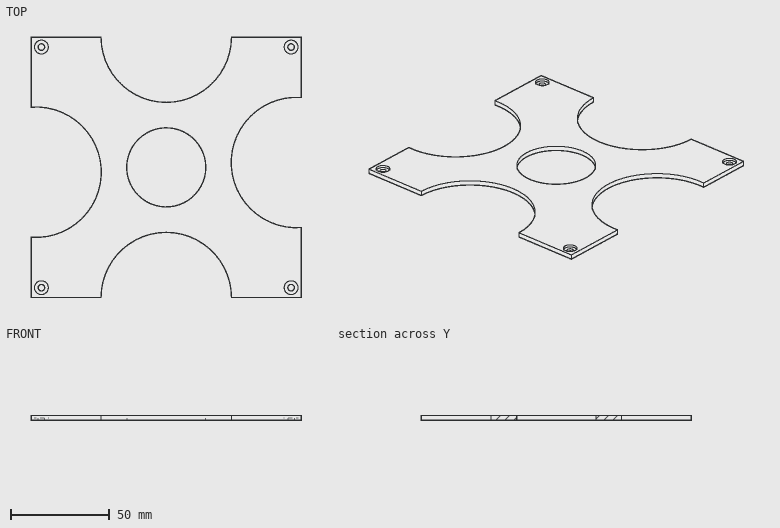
import cadquery as cq

length_x = 137.0
width_y = 132.0
thickness = 2.5

center_hole_diameter = 40.0

bite_radius = 33.0
bite_center_distance = width_y / 2
side_bite_offset_y = 2.45

screw_inset_x = 5.2
screw_inset_y = 5.0
screw_hole_diameter = 3.2
counterbore_diameter = 7.0
counterbore_depth = 1.2


def make_plate():
    """Rectangular plate resting on Z = 0, centred in X and Y."""
    return cq.Workplane("XY").box(length_x, width_y, thickness, centered=(True, True, False))


def cut_bites(plate):
    """Cut the round bites that leave the four corner arms."""
    bite_centers = [
        (0, -bite_center_distance),
        (0, bite_center_distance),
        (-bite_center_distance, -side_bite_offset_y),
        (bite_center_distance, side_bite_offset_y),
    ]
    bites = cq.Workplane("XY").pushPoints(bite_centers).circle(bite_radius).extrude(thickness)
    return plate.cut(bites)


def cut_center_hole(plate):
    """Cut the round opening through the middle."""
    return plate.cut(cq.Workplane("XY").circle(center_hole_diameter / 2).extrude(thickness))


def cut_screw_holes(plate):
    """Cut one counterbored hole near each corner, sunk from the top face."""
    spacing_x = length_x - 2 * screw_inset_x
    spacing_y = width_y - 2 * screw_inset_y
    return (
        plate.faces(">Z")
        .workplane(origin=(0, 0, thickness))
        .rarray(spacing_x, spacing_y, 2, 2)
        .cboreHole(screw_hole_diameter, counterbore_diameter, counterbore_depth)
    )


result = make_plate()
result = cut_bites(result)
result = cut_center_hole(result)
result = cut_screw_holes(result)